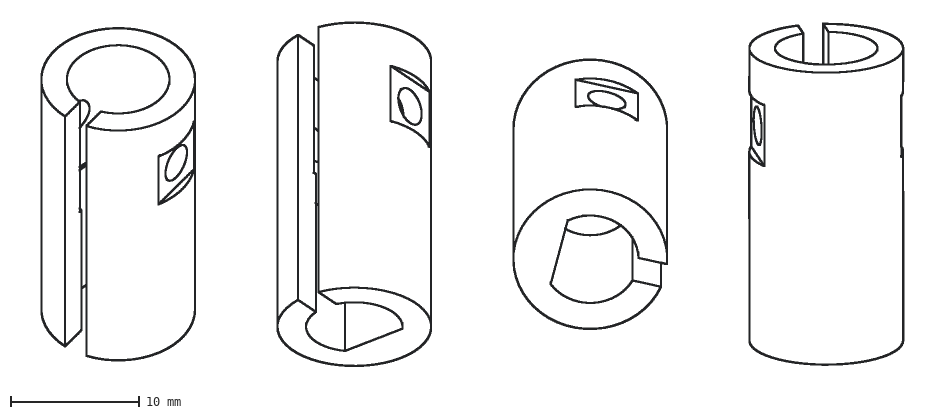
import cadquery as cq
import math

height = 24.0
outer_diameter = 12.0
outer_radius = outer_diameter / 2

socket_diameter = 8.0
socket_depth = 11.5
lower_bore_diameter = 7.5
bore_flat_y = 2.5

slot_width = 2.0

flat_size = 5.0
flat_x = math.sqrt(outer_radius**2 - (flat_size / 2) ** 2)
cross_hole_diameter = 3.0
cross_hole_z = height - 6.0


def d_shaped_bore():
    """Lower bore, cut off flat on its +Y side."""
    bore = cq.Workplane("XY").circle(lower_bore_diameter / 2).extrude(height)
    keep_depth = outer_diameter
    keep = (
        cq.Workplane("XY")
        .center(0, bore_flat_y - keep_depth / 2)
        .rect(outer_diameter, keep_depth)
        .extrude(height)
    )
    return bore.intersect(keep)


def upper_socket():
    return (
        cq.Workplane("XY")
        .workplane(offset=height - socket_depth)
        .circle(socket_diameter / 2)
        .extrude(socket_depth)
    )


def wall_slot():
    return (
        cq.Workplane("XY")
        .center(0, -outer_radius / 2)
        .rect(slot_width, outer_radius)
        .extrude(height)
    )


def side_flat(side):
    """Block that planes a square flat; side is -1 for -X and +1 for +X."""
    block_depth = outer_radius
    center_x = side * (flat_x + block_depth / 2)
    return (
        cq.Workplane("XY")
        .box(block_depth, outer_diameter, flat_size)
        .translate((center_x, 0, cross_hole_z))
    )


def cross_hole():
    return (
        cq.Workplane("YZ")
        .center(0, cross_hole_z)
        .circle(cross_hole_diameter / 2)
        .extrude(outer_radius, both=True)
    )


result = cq.Workplane("XY").circle(outer_radius).extrude(height)
result = result.cut(d_shaped_bore()).cut(upper_socket()).cut(wall_slot())
for side in (-1, 1):
    result = result.cut(side_flat(side))
result = result.cut(cross_hole())